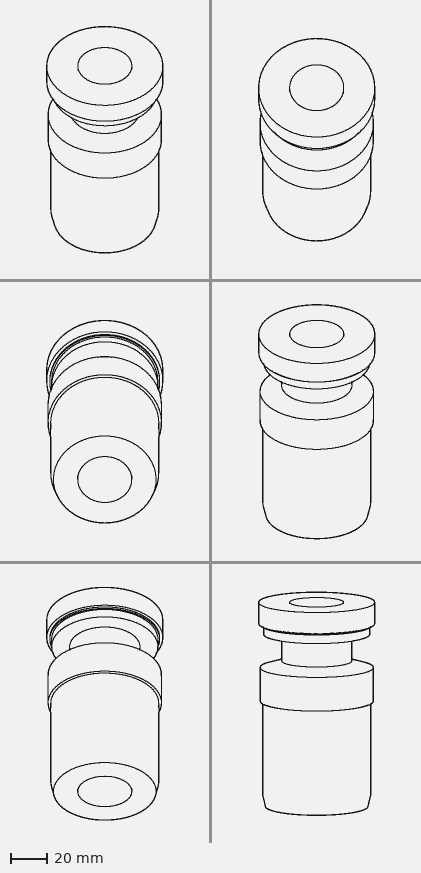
import cadquery as cq

flange_diameter = 64.5
relief_diameter = 61.0
spigot_diameter = 59.0
neck_diameter = 39.0
collar_diameter = 63.0
body_diameter = 60.0
tip_diameter = 57.0
bore_diameter = 30.0

total_height = 115.0
flange_thickness = 12.0
relief_thickness = 1.0
head_length = 18.0
neck_length = 15.0
shoulder_height = 3.7
collar_length = 19.0
collar_edge_height = 0.3
taper_height = 6.5

flange_bottom = total_height - flange_thickness
relief_bottom = flange_bottom - relief_thickness
spigot_bottom = total_height - head_length
shoulder_top = spigot_bottom - neck_length
collar_top = shoulder_top - shoulder_height
collar_bottom = collar_top - collar_length
body_top = collar_bottom - collar_edge_height


def cylinder(diameter, bottom, top):
    """Solid cylinder on the Z axis between two heights."""
    return cq.Workplane("XY", origin=(0, 0, bottom)).circle(diameter / 2).extrude(top - bottom)


def cone(bottom_diameter, top_diameter, bottom, top):
    """Solid truncated cone on the Z axis between two heights."""
    return (
        cq.Workplane("XY", origin=(0, 0, bottom))
        .circle(bottom_diameter / 2)
        .workplane(offset=top - bottom)
        .circle(top_diameter / 2)
        .loft(ruled=True)
    )


result = cone(tip_diameter, body_diameter, 0, taper_height)
result = result.union(cylinder(body_diameter, taper_height, body_top))

result = result.union(cone(body_diameter, collar_diameter, body_top, collar_bottom))
result = result.union(cylinder(collar_diameter, collar_bottom, collar_top))
result = result.union(cone(collar_diameter, neck_diameter, collar_top, shoulder_top))

result = result.union(cylinder(neck_diameter, shoulder_top, spigot_bottom))
result = result.union(cylinder(spigot_diameter, spigot_bottom, relief_bottom))
result = result.union(cylinder(relief_diameter, relief_bottom, flange_bottom))
result = result.union(cylinder(flange_diameter, flange_bottom, total_height))

result = result.cut(cylinder(bore_diameter, 0, total_height))